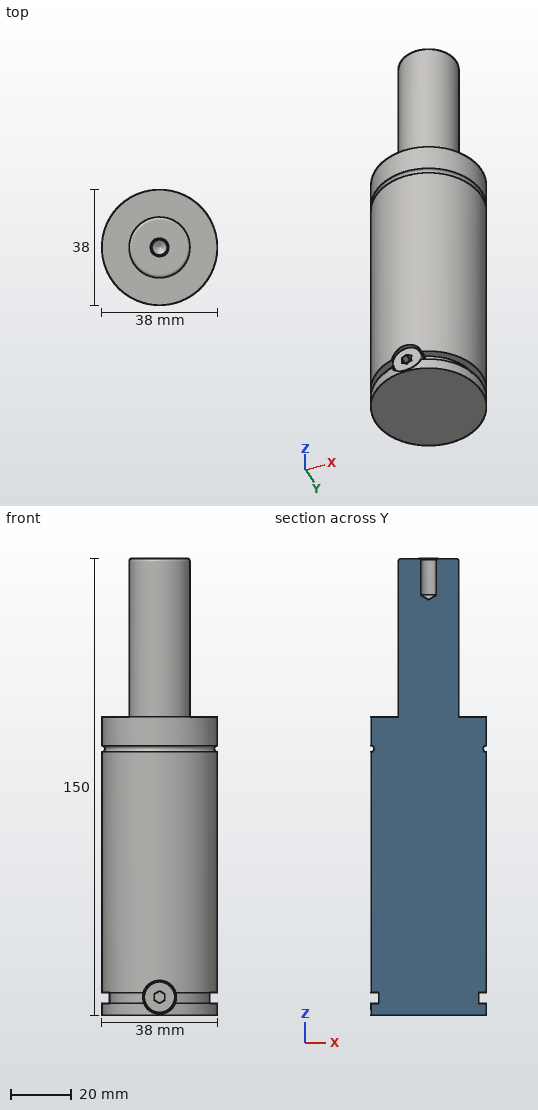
import cadquery as cq
import math

body_diameter = 38.0
body_height = 98.0
body_radius = body_diameter / 2

rod_diameter = 20.0
total_height = 150.0
rod_fillet = 1.0

rod_hole_diameter = 5.0
rod_hole_depth = 12.0
rod_hole_chamfer = 0.5
drill_point_angle = 118.0

base_groove_bottom = 4.0
base_groove_width = 3.5
base_groove_diameter = 33.0

head_groove_height = 87.5
head_groove_radius = 1.0

plug_height = 6.0
bore_diameter = 11.0
bore_depth = 4.0
bore_floor_offset = body_radius - bore_depth
plug_diameter = 10.0
plug_face_offset = 18.2
plug_fillet = 0.3
socket_across_flats = 3.5
socket_depth = 3.0


def make_body():
    body = cq.Workplane("XY").circle(body_radius).extrude(body_height)
    return body.cut(make_base_groove()).cut(make_head_groove())


def make_base_groove():
    return (
        cq.Workplane("XY")
        .workplane(offset=base_groove_bottom)
        .circle(body_radius)
        .circle(base_groove_diameter / 2)
        .extrude(base_groove_width)
    )


def make_head_groove():
    return cq.Workplane("XY").add(
        cq.Solid.makeTorus(body_radius, head_groove_radius, cq.Vector(0, 0, head_groove_height))
    )


def make_rod():
    return (
        cq.Workplane("XY")
        .workplane(offset=body_height)
        .circle(rod_diameter / 2)
        .extrude(total_height - body_height)
        .faces(">Z")
        .fillet(rod_fillet)
    )


def make_rod_hole():
    """Blind hole with a chamfered mouth and a conical drill point, revolved about Z."""
    radius = rod_hole_diameter / 2
    hole_bottom = total_height - rod_hole_depth
    point_depth = radius / math.tan(math.radians(drill_point_angle / 2))
    return (
        cq.Workplane("XZ")
        .moveTo(0, total_height)
        .lineTo(radius + rod_hole_chamfer, total_height)
        .lineTo(radius, total_height - rod_hole_chamfer)
        .lineTo(radius, hole_bottom)
        .lineTo(0, hole_bottom - point_depth)
        .close()
        .revolve(360, (0, 0), (0, 1))
    )


def valve_cylinder(diameter, start, end):
    """Cylinder on the valve axis between two distances from the body axis, toward -Y."""
    return (
        cq.Workplane("XZ", origin=(0, -start, plug_height))
        .circle(diameter / 2)
        .extrude(end - start)
    )


def make_socket():
    """Hexagonal key socket in the plug face, with corners at its top and bottom."""
    across_corners = socket_across_flats / math.cos(math.pi / 6)
    return (
        cq.Workplane("XZ", origin=(0, -plug_face_offset, plug_height))
        .transformed(rotate=(0, 0, 90))
        .polygon(6, across_corners)
        .extrude(-socket_depth)
    )


def add_valve(body):
    """Sink the bore into the body wall and stand the rounded plug on its floor."""
    bore = valve_cylinder(bore_diameter, bore_floor_offset, body_radius)
    plug = valve_cylinder(plug_diameter, 0, plug_face_offset).faces("<Y").edges().fillet(plug_fillet)
    return body.cut(bore).union(plug).cut(make_socket())


result = add_valve(make_body()).union(make_rod()).cut(make_rod_hole())